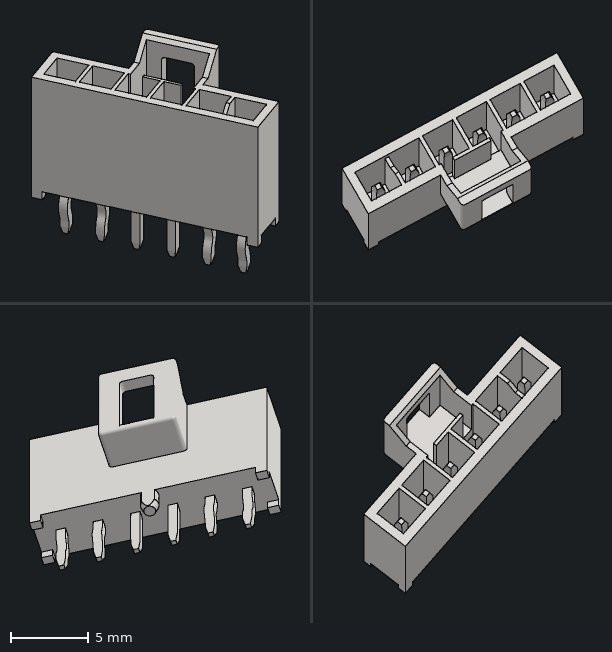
import cadquery as cq
import math


body_length = 15.94
body_depth = 3.5
body_height = 9.1
foot_length = 0.77
foot_depth = 0.6
foot_height = 0.6
body_back = body_depth / 2

contact_count = 6
pitch = 2.5
cavity_length = 2.23
cavity_depth = 2.2
floor_thickness = 1.5
cavity_floor = foot_height + floor_thickness
cavity_back = cavity_depth / 2
contact_places = [(i - (contact_count - 1) / 2) * pitch for i in range(contact_count)]

step_start = 0.25
step_drop = 0.65

latch_length = 5.23
latch_reach = 2.84
latch_drop = 5.0
latch_rise = 1.42
latch_lip = 0.59
latch_round = 0.25
latch_side_wall = 0.4
latch_back_wall = 0.86
latch_floor_wall = 0.4
latch_back = body_back + latch_reach
latch_bottom = body_height - latch_drop
latch_top = body_height + latch_rise
pocket_length = latch_length - 2 * latch_side_wall
pocket_back = latch_back - latch_back_wall
pocket_floor = latch_bottom + latch_floor_wall

window_length = 2.3
window_round = 0.25
window_rise = 0.1
window_top = body_height + window_rise

guard_length = 2.71
guard_thickness = 0.24

peg_diameter = 1.2
peg_tip_diameter = 0.78
peg_straight = 1.02
peg_taper = 0.6
peg_inset = 0.41

pin_width = 0.64
pin_tip_width = 0.35
pin_taper = 0.55
pin_bottom = -3.19
pin_recess = 2.0
pin_top = body_height - pin_recess

bow_centre = -1.1
bow_half_height = 1.15
bend_radius = 1.34
bend_angle = math.asin(bow_half_height / (2 * bend_radius))
bow_offset = 2 * bend_radius * (1 - math.cos(bend_angle))
bow_directions = [-1, 1, 0, 0, 1, -1]


def block(x_range, y_range, z_range):
    """Box spanning the given (low, high) limits."""
    sizes = [high - low for low, high in (x_range, y_range, z_range)]
    corner = (x_range[0], y_range[0], z_range[0])
    return cq.Workplane("XY").box(*sizes, centered=False).translate(corner)


def centred(length):
    return (-length / 2, length / 2)


def make_housing():
    housing = block(centred(body_length), centred(body_depth), (0, body_height))
    underside = (0, foot_height)
    lengthwise = block(centred(body_length), centred(body_depth - 2 * foot_depth), underside)
    crosswise = block(centred(body_length - 2 * foot_length), centred(body_depth), underside)
    return housing.cut(lengthwise).cut(crosswise)


def make_latch():
    outline = [
        (cavity_back, latch_bottom),
        (latch_back, latch_bottom),
        (latch_back, latch_top),
        (latch_back - latch_lip, latch_top),
        (latch_back - latch_lip - latch_rise, body_height),
        (cavity_back, body_height),
    ]
    latch = cq.Workplane("YZ").polyline(outline).close().extrude(latch_length / 2, both=True)
    return latch.edges("(|Z and >Y) or <Z").edges("not(<Y)").fillet(latch_round)


def make_latch_pocket():
    pocket = block(centred(pocket_length), (0, pocket_back), (pocket_floor, latch_top))
    ahead = block(centred(pocket_length), (0, cavity_back), (pocket_floor, latch_top))
    guard = block(
        centred(guard_length), (cavity_back, cavity_back + guard_thickness), (pocket_floor, body_height)
    )
    return pocket.cut(ahead).cut(guard)


def make_window():
    window = block(centred(window_length), (pocket_back, latch_back), (pocket_floor, window_top))
    return window.edges("|Y and >Z").fillet(window_round)


def make_cavity(x):
    cavity = block(centred(cavity_length), centred(cavity_depth), (cavity_floor, body_height))
    return cavity.translate((x, 0, 0))


def make_divider_step():
    outline = [
        (step_start, body_height),
        (step_start - step_drop, body_height - step_drop),
        (-cavity_depth / 2, body_height - step_drop),
        (-cavity_depth / 2, body_height),
    ]
    step = cq.Workplane("YZ").polyline(outline).close().extrude(pitch / 2, both=True)
    return step.translate((contact_places[-1] - pitch / 2, 0, 0))


def make_peg():
    base = cq.Workplane("XY", origin=(0, body_back - peg_inset, foot_height))
    shank = base.circle(peg_diameter / 2).extrude(-peg_straight)
    tip = (
        base.workplane(offset=-peg_straight)
        .circle(peg_diameter / 2)
        .workplane(offset=-peg_taper)
        .circle(peg_tip_diameter / 2)
        .loft()
    )
    overhang = block(
        centred(peg_diameter),
        (body_back, body_back + peg_diameter),
        (foot_height - peg_straight - peg_taper, foot_height),
    )
    return shank.union(tip).cut(overhang)


def bow_face(offset):
    """Points down one bowed face, lying at this offset from the centreline towards the bow."""
    entry_radius = bend_radius - offset

    def entry_point(angle):
        y = bend_radius - entry_radius * math.cos(angle)
        return (y, bow_half_height - entry_radius * math.sin(angle))

    upper = [entry_point(0), entry_point(bend_angle / 2), entry_point(bend_angle)]
    apex = (bow_offset + offset, 0)
    lower = [(y, -z) for y, z in reversed(upper)]
    return upper + [apex] + lower


def trace_bends(sketch, points):
    """Follow the three bends of a face, starting at its first point."""
    for middle, end in ((1, 2), (3, 4), (5, 6)):
        sketch = sketch.threePointArc(points[middle], points[end])
    return sketch


def make_bow(direction):
    outer = bow_face(pin_width / 2)
    inner = bow_face(-pin_width / 2)[::-1]
    sketch = trace_bends(cq.Workplane("YZ").moveTo(*outer[0]), outer)
    sketch = trace_bends(sketch.lineTo(*inner[0]), inner)
    bow = sketch.close().extrude(pin_width / 2, both=True)
    if direction < 0:
        bow = bow.mirror("XZ")
    return bow.translate((0, 0, bow_centre))


def make_tip(z, length):
    """Square taper from full pin width at z to the tip; a negative length points down."""
    return (
        cq.Workplane("XY", origin=(0, 0, z))
        .rect(pin_width, pin_width)
        .workplane(offset=length)
        .rect(pin_tip_width, pin_tip_width)
        .loft()
    )


def make_contact(x, direction):
    shank_top = pin_top - pin_taper
    shank_bottom = pin_bottom + pin_taper
    side = centred(pin_width)
    contact = block(side, side, (shank_bottom, shank_top))
    if direction:
        bow_top = bow_centre + bow_half_height
        bow_bottom = bow_centre - bow_half_height
        upper = block(side, side, (bow_top, shank_top))
        lower = block(side, side, (shank_bottom, bow_bottom))
        contact = upper.union(make_bow(direction)).union(lower)
    contact = contact.union(make_tip(shank_top, pin_taper)).union(make_tip(shank_bottom, -pin_taper))
    return contact.translate((x, 0, 0))


result = make_housing().union(make_latch())
result = result.cut(make_latch_pocket()).cut(make_window())
for place in contact_places:
    result = result.cut(make_cavity(place))
result = result.cut(make_divider_step()).union(make_peg())
for place, bow_direction in zip(contact_places, bow_directions):
    result = result.union(make_contact(place, bow_direction))